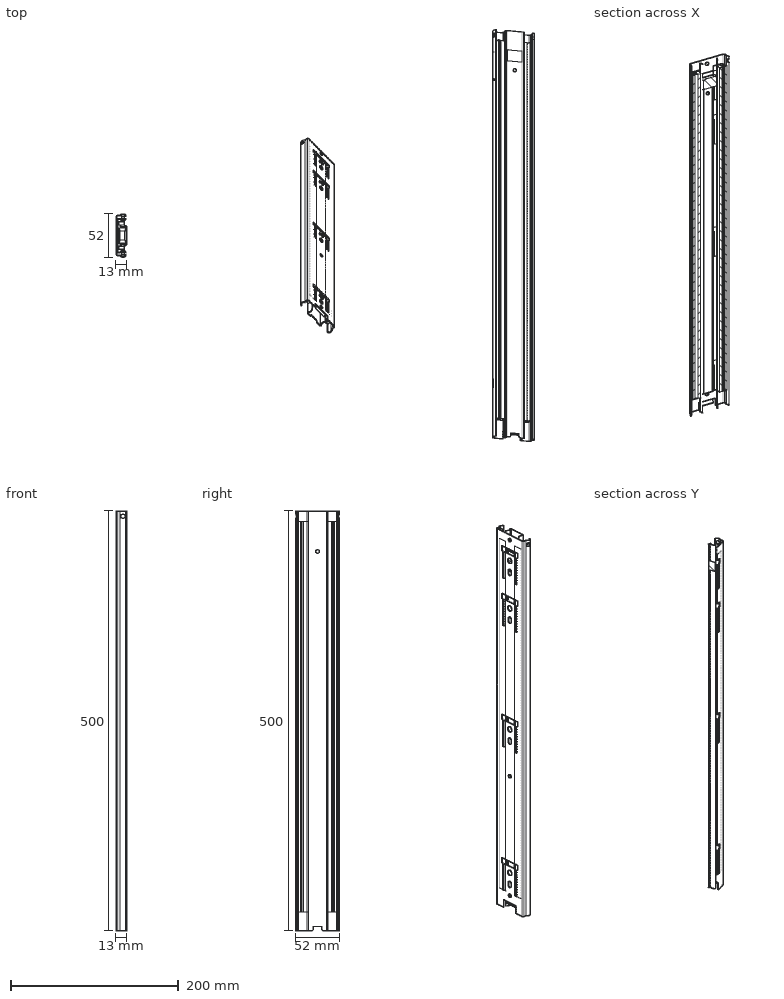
import cadquery as cq

LENGTH = 500.0
DEPTH = 13.0
WIDTH = 52.0
SHEET = 1.2
TOP = LENGTH / 2
BOTTOM = -LENGTH / 2
BACK = -DEPTH / 2
FRONT = DEPTH / 2
RACE_X = 1.75
RACE_HALF = 3.5
RACE_DEPTH = 1.75
TIP_X = RACE_X + RACE_HALF

OUTER_HALF = WIDTH / 2
OUTER_WALL = OUTER_HALF - RACE_DEPTH
OUTER_CORNER = 2.25
TIP_Y = 22.75
SIDE_HOLE_Z = 244.0
SIDE_HOLE_RADIUS = 2.5
WEB_HOLE_RADIUS = 2.25
WEB_HOLES_Z = (243.0, -71.5, -230.5)
END_NOTCH_WIDTH = 22.0
END_NOTCH_HEIGHT = 10.0
END_TAB_WIDTH = 15.0
END_TAB_REACH = 3.0
END_TAB_DROP = 4.5

TONGUE_TOPS = (230.5, 167.0, 6.0, -185.0)
TONGUE_HEAD_WIDTH = 28.0
TONGUE_HEAD_HEIGHT = 6.5
TONGUE_LEG_Y = 11.25
TONGUE_LEG_WIDTH = 3.0
TONGUE_LENGTH = 42.0
MOUNT_HOLE_DROP = 15.0
MOUNT_HOLE_RADIUS = 3.5
MOUNT_SLOT_DROP = 30.5
MOUNT_SLOT_LENGTH = 8.5
MOUNT_SLOT_WIDTH = 5.0

MIDDLE_TOP = 238.0
MIDDLE_BOTTOM = -227.5
MIDDLE_BACK = BACK + SHEET
MIDDLE_HALF = 20.5
MIDDLE_RACE = 1.75
MIDDLE_CORNER = 1.5
JOGGLE = 1.0
JOGGLE_START = 5.75
JOGGLE_END = 8.0
MIDDLE_NOTCH_FLOOR = 226.5

INNER_HALF = 12.25
INNER_RACE = 1.5
INNER_CORNER = 1.5
INNER_EDGE_X = -2.0
INNER_NOTCH_WIDTH = 10.0
INNER_NOTCH_HEIGHT = 5.0
INNER_NOTCH_FLARE = 1.5
ACCESS_HOLE_RADIUS = 2.0
ACCESS_HOLE_Z = 202.0

RETAINER_FRONT = 3.5
OUTER_RETAINER_BACK = 0.0
OUTER_RETAINER_SPAN = (20.0, 23.0)
INNER_RETAINER_BACK = -3.5
INNER_RETAINER_SPAN = (12.5, 16.5)
BUMPER_WIDTH = 18.5
BUMPER_TOP = 228.0
BUMPER_LENGTH = 15.0
BUMPER_CHAMFER = 1.5
BUMPER_SLOPE = 4.0


def box(x_range, y_range, z_range):
    """Box between the given lower and upper limits."""
    sides = [high - low for low, high in (x_range, y_range, z_range)]
    corner = (x_range[0], y_range[0], z_range[0])
    return cq.Workplane("XY").box(*sides, centered=False).translate(corner)


def both_sides(half_profile, bottom, top):
    """Extrude a closed half profile along Z and join it to its mirror image across Y = 0."""
    half = half_profile.close().extrude(top - bottom).translate((0, 0, bottom))
    return half.union(half.mirror("XZ"))


def web_hole(radius, z):
    """Round cutter along the whole depth, on the centre line of the webs."""
    return cq.Workplane("YZ", origin=(BACK, 0, z)).circle(radius).extrude(DEPTH)


def tongue_cutter(top):
    """U-shaped slot that frees one tongue, with the tongue's round and oblong mounting holes."""
    depth = (BACK, BACK + SHEET)
    half = TONGUE_HEAD_WIDTH / 2
    cutter = box(depth, (-half, half), (top - TONGUE_HEAD_HEIGHT, top))
    for y in (-TONGUE_LEG_Y, TONGUE_LEG_Y):
        leg = (y - TONGUE_LEG_WIDTH / 2, y + TONGUE_LEG_WIDTH / 2)
        cutter = cutter.union(box(depth, leg, (top - TONGUE_LENGTH, top)))
    face = cq.Workplane("YZ", origin=(BACK, 0, top))
    hole = face.center(0, -MOUNT_HOLE_DROP).circle(MOUNT_HOLE_RADIUS).extrude(SHEET)
    slot_face = face.center(0, -MOUNT_SLOT_DROP)
    slot = slot_face.slot2D(MOUNT_SLOT_LENGTH, MOUNT_SLOT_WIDTH, 90).extrude(SHEET)
    return cutter.union(hole).union(slot)


def end_tab():
    """Tab bent inward and down from the upper edge of the end notch."""
    root_z = BOTTOM + END_NOTCH_HEIGHT
    edge_x = BACK + END_TAB_REACH
    edge_z = root_z - END_TAB_DROP
    profile = (
        cq.Workplane("XZ")
        .moveTo(BACK, root_z)
        .lineTo(edge_x, edge_z)
        .lineTo(edge_x, edge_z + SHEET)
        .lineTo(BACK + SHEET, root_z)
        .close()
    )
    return profile.extrude(END_TAB_WIDTH / 2, both=True)


def make_outer_member():
    inside = OUTER_WALL - SHEET
    race_radius = (RACE_HALF**2 + RACE_DEPTH**2) / (2 * RACE_DEPTH)
    race_start = RACE_X - RACE_HALF
    profile = (
        cq.Workplane("XY")
        .moveTo(BACK, 0)
        .lineTo(BACK, OUTER_WALL - OUTER_CORNER)
        .radiusArc((BACK + OUTER_CORNER, OUTER_WALL), OUTER_CORNER)
        .lineTo(race_start, OUTER_WALL)
        .radiusArc((RACE_X, OUTER_HALF), race_radius)
        .radiusArc((TIP_X, OUTER_WALL), race_radius)
        .lineTo(TIP_X, TIP_Y)
        .lineTo(TIP_X - SHEET, TIP_Y)
        .threePointArc((RACE_X, OUTER_HALF - SHEET), (race_start + SHEET, inside))
        .lineTo(BACK + SHEET, inside)
        .lineTo(BACK + SHEET, 0)
    )
    member = both_sides(profile, BOTTOM, TOP)
    for top in TONGUE_TOPS:
        member = member.cut(tongue_cutter(top))
    web = (BACK, BACK + SHEET)
    for z in WEB_HOLES_Z:
        face = cq.Workplane("YZ", origin=(BACK, 0, z))
        member = member.cut(face.circle(WEB_HOLE_RADIUS).extrude(SHEET))
    half = END_NOTCH_WIDTH / 2
    member = member.cut(box(web, (-half, half), (BOTTOM, BOTTOM + END_NOTCH_HEIGHT)))
    member = member.union(end_tab())
    side_holes = cq.Workplane("XZ", origin=(RACE_X, 0, SIDE_HOLE_Z)).circle(SIDE_HOLE_RADIUS)
    return member.cut(side_holes.extrude(OUTER_HALF, both=True))


def make_middle_member():
    race_start = RACE_X - RACE_HALF
    inside = MIDDLE_HALF - SHEET
    web_front = MIDDLE_BACK + SHEET
    profile = (
        cq.Workplane("XY")
        .moveTo(MIDDLE_BACK + JOGGLE, 0)
        .lineTo(MIDDLE_BACK + JOGGLE, JOGGLE_START)
        .lineTo(MIDDLE_BACK, JOGGLE_END)
        .lineTo(MIDDLE_BACK, MIDDLE_HALF - MIDDLE_CORNER)
        .radiusArc((MIDDLE_BACK + MIDDLE_CORNER, MIDDLE_HALF), MIDDLE_CORNER)
        .lineTo(race_start, MIDDLE_HALF)
        .threePointArc((RACE_X, MIDDLE_HALF - MIDDLE_RACE), (TIP_X, MIDDLE_HALF))
        .lineTo(TIP_X, inside)
        .threePointArc((RACE_X, inside - MIDDLE_RACE), (race_start, inside))
        .lineTo(web_front, inside)
        .lineTo(web_front, JOGGLE_END)
        .lineTo(web_front + JOGGLE, JOGGLE_START)
        .lineTo(web_front + JOGGLE, 0)
    )
    member = both_sides(profile, MIDDLE_BOTTOM, MIDDLE_TOP)
    web = (MIDDLE_BACK, web_front + JOGGLE)
    member = member.cut(box(web, (-JOGGLE_END, JOGGLE_END), (MIDDLE_NOTCH_FLOOR, MIDDLE_TOP)))
    return member.cut(web_hole(ACCESS_HOLE_RADIUS, ACCESS_HOLE_Z))


def make_inner_member():
    race_end = FRONT - INNER_CORNER
    race_middle = (race_end + INNER_EDGE_X) / 2
    inside = INNER_HALF - SHEET
    profile = (
        cq.Workplane("XY")
        .moveTo(FRONT, 0)
        .lineTo(FRONT, INNER_HALF - INNER_CORNER)
        .lineTo(race_end, INNER_HALF)
        .threePointArc((race_middle, INNER_HALF - INNER_RACE), (INNER_EDGE_X, INNER_HALF))
        .lineTo(INNER_EDGE_X, inside)
        .threePointArc((race_middle, inside - INNER_RACE), (race_end, inside))
        .lineTo(FRONT - SHEET, INNER_HALF - INNER_CORNER - SHEET)
        .lineTo(FRONT - SHEET, 0)
    )
    member = both_sides(profile, BOTTOM, TOP)
    half = INNER_NOTCH_WIDTH / 2
    notch = (
        cq.Workplane("YZ", origin=(FRONT - SHEET, 0, BOTTOM))
        .moveTo(-half - INNER_NOTCH_FLARE, 0)
        .lineTo(half + INNER_NOTCH_FLARE, 0)
        .lineTo(half, INNER_NOTCH_FLARE)
        .lineTo(half, INNER_NOTCH_HEIGHT)
        .lineTo(-half, INNER_NOTCH_HEIGHT)
        .lineTo(-half, INNER_NOTCH_FLARE)
        .close()
        .extrude(SHEET)
    )
    return member.cut(notch).cut(web_hole(ACCESS_HOLE_RADIUS, ACCESS_HOLE_Z))


def make_retainer(back, span):
    """Ball retainer strip in a race gap, as long as the middle member."""
    return box((back, RETAINER_FRONT), span, (MIDDLE_BOTTOM, MIDDLE_TOP))


def make_bumper():
    """Stop block filling the space between the middle and inner webs, with a bevelled top."""
    half = BUMPER_WIDTH / 2
    x_range = (MIDDLE_BACK + JOGGLE + SHEET, FRONT - SHEET)
    block = box(x_range, (-half, half), (BUMPER_TOP - BUMPER_LENGTH, BUMPER_TOP))
    slopes = (
        cq.Workplane("YZ", origin=(x_range[0], 0, BUMPER_TOP))
        .moveTo(half, 0)
        .lineTo(half, -BUMPER_CHAMFER)
        .lineTo(half - BUMPER_SLOPE, 0)
        .close()
        .extrude(x_range[1] - x_range[0])
    )
    block = block.cut(slopes).cut(slopes.mirror("XZ"))
    return block.faces(">Z").edges("|Y").chamfer(BUMPER_CHAMFER)


outer_member = make_outer_member()
middle_member = make_middle_member()
inner_member = make_inner_member()
retainers = []
for back, span in (
    (OUTER_RETAINER_BACK, OUTER_RETAINER_SPAN),
    (INNER_RETAINER_BACK, INNER_RETAINER_SPAN),
):
    retainer = make_retainer(back, span)
    retainers.append(retainer.val())
    retainers.append(retainer.mirror("XZ").val())
bumper = make_bumper()

result = cq.Compound.makeCompound(
    [outer_member.val(), middle_member.val(), inner_member.val(), *retainers, bumper.val()]
)